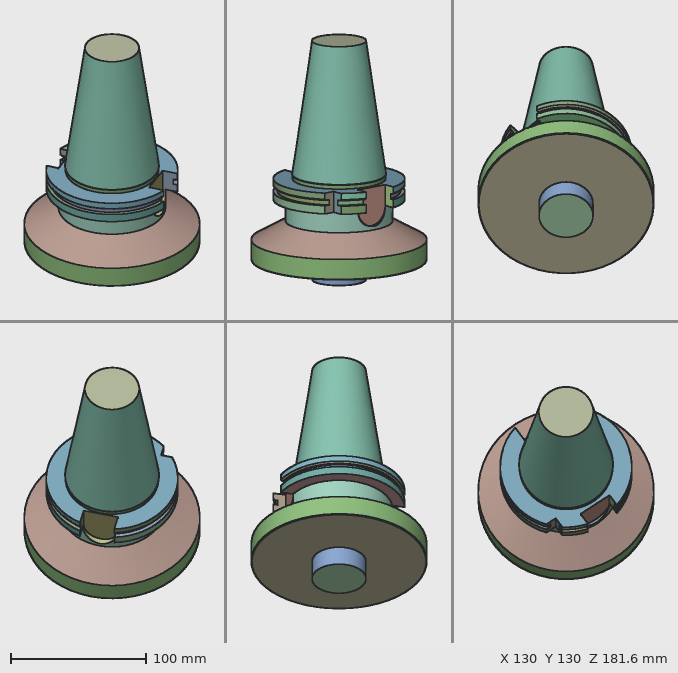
import cadquery as cq

TOTAL_HEIGHT = 181.6

PILOT_DIAMETER = 40.0
PILOT_LENGTH = 14.9

DISC_DIAMETER = 130.0
DISC_THICKNESS = 15.6
DISC_CHAMFER = 0.5
CONE_HEIGHT = 14.4

NECK_DIAMETER = 79.5
NECK_LENGTH = 16.2

FLANGE_DIAMETER = 97.5
FLANGE_THICKNESS = 15.8
GROOVE_DIAMETER = 91.2
GROOVE_HEIGHT = 3.8
LOWER_LIP_THICKNESS = 6.2
LIP_CHAMFER_WIDTH = 1.5
LIP_CHAMFER_HEIGHT = 1.0

COLLAR_DIAMETER = 69.2
COLLAR_LENGTH = 2.9
TAPER_LARGE_DIAMETER = 69.8
TAPER_RATIO = 7 / 24
TAPER_STEP_HEIGHT = 0.5

SLOT_WIDTH = 26.2
SLOT_ARC_DROP = 0.4
SLOT_FLOOR_LEFT = 37.5
SLOT_FLOOR_RIGHT = 35.2

NOTCH_X = 29.8
NOTCH_Y = 30.2

disc_bottom = PILOT_LENGTH
disc_top = disc_bottom + DISC_THICKNESS
neck_bottom = disc_top + CONE_HEIGHT
flange_bottom = neck_bottom + NECK_LENGTH
groove_bottom = flange_bottom + LOWER_LIP_THICKNESS
groove_top = groove_bottom + GROOVE_HEIGHT
flange_top = flange_bottom + FLANGE_THICKNESS
collar_top = flange_top + COLLAR_LENGTH
taper_bottom = collar_top + TAPER_STEP_HEIGHT

disc_radius = DISC_DIAMETER / 2
neck_radius = NECK_DIAMETER / 2
flange_radius = FLANGE_DIAMETER / 2
groove_radius = GROOVE_DIAMETER / 2
collar_radius = COLLAR_DIAMETER / 2
taper_large_radius = TAPER_LARGE_DIAMETER / 2
taper_small_radius = taper_large_radius - TAPER_RATIO * (TOTAL_HEIGHT - taper_bottom) / 2


def turned_holder():
    """Revolved disc, cone, neck, grooved flange, collar and taper shank."""
    profile = [
        (0, disc_bottom),
        (disc_radius - DISC_CHAMFER, disc_bottom),
        (disc_radius, disc_bottom + DISC_CHAMFER),
        (disc_radius, disc_top),
        (neck_radius, neck_bottom),
        (neck_radius, flange_bottom),
        (flange_radius, flange_bottom),
        (flange_radius, groove_bottom),
        (groove_radius, groove_bottom),
        (groove_radius, groove_top),
        (flange_radius - LIP_CHAMFER_WIDTH, groove_top),
        (flange_radius, groove_top + LIP_CHAMFER_HEIGHT),
        (flange_radius, flange_top),
        (collar_radius, flange_top),
        (collar_radius, collar_top),
        (taper_large_radius, taper_bottom),
        (taper_small_radius, TOTAL_HEIGHT),
        (0, TOTAL_HEIGHT),
    ]
    return cq.Workplane("XZ").polyline(profile).close().revolve(360, (0, 0), (0, 1))


def drive_slot(side, floor_distance):
    """Round-bottomed slot cutter, open upwards and outwards; side is -1 or +1 along X."""
    half_width = SLOT_WIDTH / 2
    arc_center = flange_bottom - SLOT_ARC_DROP
    depth = flange_radius - floor_distance
    return (
        cq.Workplane("YZ", origin=(side * floor_distance, 0, 0))
        .moveTo(-half_width, flange_top)
        .lineTo(-half_width, arc_center)
        .threePointArc((0, arc_center - half_width), (half_width, arc_center))
        .lineTo(half_width, flange_top)
        .close()
        .extrude(side * depth)
    )


def corner_notch():
    """Square-cornered cutter through the full flange thickness."""
    return cq.Workplane("XY").box(
        flange_radius - NOTCH_X,
        flange_radius - NOTCH_Y,
        FLANGE_THICKNESS,
        centered=False,
    ).translate((-flange_radius, NOTCH_Y, flange_bottom))


def make_holder():
    return (
        turned_holder()
        .cut(drive_slot(-1, SLOT_FLOOR_LEFT))
        .cut(drive_slot(1, SLOT_FLOOR_RIGHT))
        .cut(corner_notch())
    )


def make_pilot():
    """Plain cylinder seated against the underside of the disc."""
    return cq.Workplane("XY").circle(PILOT_DIAMETER / 2).extrude(PILOT_LENGTH)


holder = make_holder()
pilot = make_pilot()
result = cq.Compound.makeCompound([holder.val(), pilot.val()])